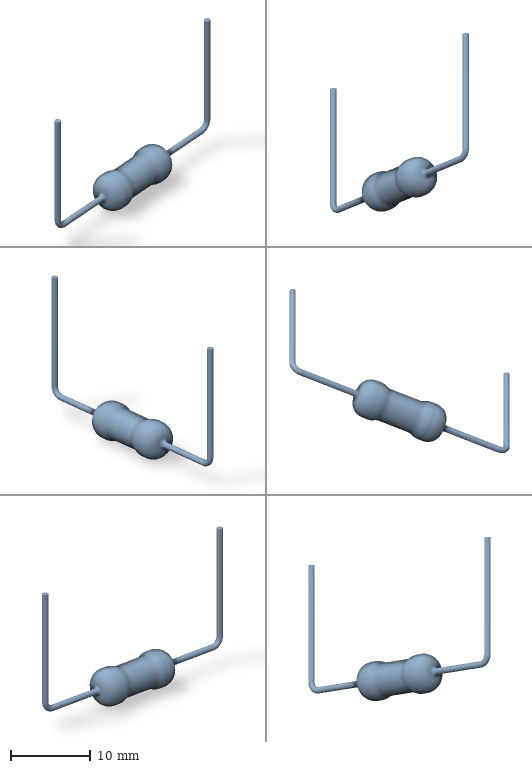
import cadquery as cq
import math


WIRE_DIAMETER = 0.8
LEAD_SPACING = 30.0
BEND_RADIUS = 1.2
LEAD_HEIGHT = 16.1

CAP_DIAMETER = 5.0
BARREL_DIAMETER = 4.25
BAND_DIAMETER = 4.27
BAND_COUNT = 4
BARREL_LENGTH = 4.0
SHOULDER_LENGTH = 1.48
CAP_LENGTH = 0.74
BODY_LENGTH = 12.0
COLLAR_RADIUS = 0.45

wire_radius = WIRE_DIAMETER / 2
cap_radius = CAP_DIAMETER / 2
barrel_radius = BARREL_DIAMETER / 2

barrel_end = BARREL_LENGTH / 2
cap_start = barrel_end + SHOULDER_LENGTH
cap_end = cap_start + CAP_LENGTH
body_end = BODY_LENGTH / 2
collar_end = body_end + COLLAR_RADIUS


def make_cap():
    """One cap with its shoulder, rounded end and collar, revolved about Y."""
    shoulder_middle = (
        (barrel_radius + cap_radius) / 2,
        (barrel_end + cap_start) / 2,
    )
    collar_foot_radius = wire_radius + COLLAR_RADIUS
    diagonal = math.sqrt(0.5)
    collar_arc_middle = (
        collar_foot_radius - COLLAR_RADIUS * diagonal,
        collar_end - COLLAR_RADIUS * diagonal,
    )
    return (
        cq.Workplane("XY")
        .moveTo(cap_radius, cap_end)
        .lineTo(cap_radius, cap_start)
        .tangentArcPoint(shoulder_middle, relative=False)
        .tangentArcPoint((barrel_radius, barrel_end), relative=False)
        .lineTo(0, barrel_end)
        .lineTo(0, collar_end)
        .lineTo(wire_radius, collar_end)
        .threePointArc(collar_arc_middle, (collar_foot_radius, body_end))
        .ellipseArc(
            cap_radius - collar_foot_radius,
            body_end - cap_end,
            angle1=0,
            angle2=90,
            sense=-1,
        )
        .close()
        .revolve(360, (0, 0, 0), (0, 1, 0))
    )


def make_barrel():
    """Straight barrel of equal rings, alternating raised bands and plain gaps."""
    ring_count = 2 * BAND_COUNT - 1
    ring_width = BARREL_LENGTH / ring_count
    barrel = cq.Workplane("XZ")
    for index in range(ring_count):
        diameter = BAND_DIAMETER if index % 2 == 0 else BARREL_DIAMETER
        ring_start = -barrel_end + index * ring_width
        ring = (
            cq.Workplane("XZ", origin=(0, ring_start, 0))
            .circle(diameter / 2)
            .extrude(-ring_width)
        )
        barrel = barrel.add(ring)
    return barrel.combine()


def make_lead():
    """One wire: out of the body along Y, then bent up along Z."""
    lead_y = LEAD_SPACING / 2
    path = (
        cq.Workplane("YZ")
        .moveTo(collar_end, 0)
        .lineTo(lead_y - BEND_RADIUS, 0)
        .tangentArcPoint((lead_y, BEND_RADIUS), relative=False)
        .lineTo(lead_y, LEAD_HEIGHT)
    )
    return cq.Workplane("XZ", origin=(0, collar_end, 0)).circle(wire_radius).sweep(path)


end = make_cap().union(make_lead())
result = make_barrel().union(end).union(end.mirror("XZ"))